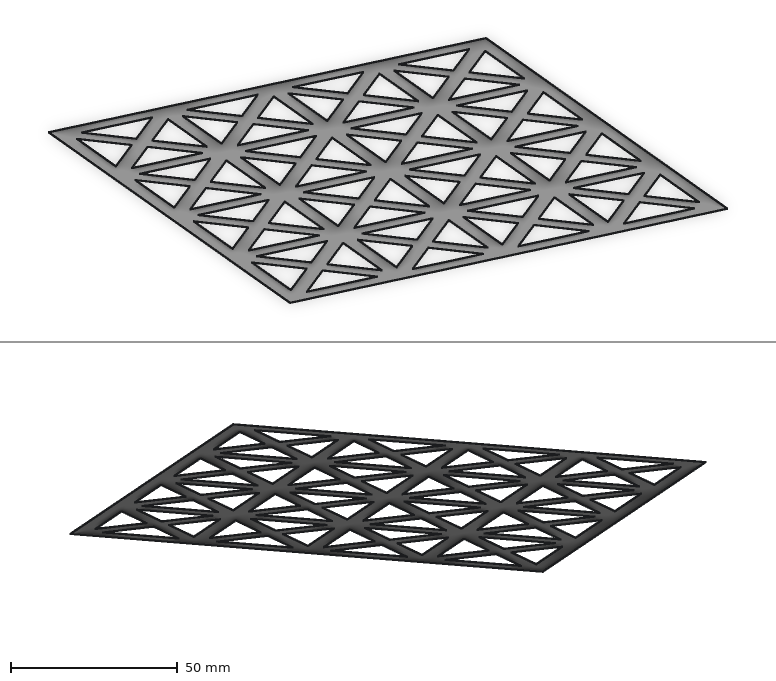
import cadquery as cq
import math

side = 150.0
thickness = 0.2

cells_per_side = 4
bar_widths_per_side = 30
bar_width = side / bar_widths_per_side

cell_size = (side - (cells_per_side + 1) * bar_width) / cells_per_side
cell_pitch = cell_size + bar_width

apex_distance = bar_width / 2 * math.sqrt(2)
window_base = cell_size / 2
window_half_length = window_base - apex_distance


def make_cell_windows():
    """Four triangular prisms around the origin, one on each edge of a cell."""
    window = (
        cq.Workplane("XY")
        .polyline([
            (-window_half_length, window_base),
            (window_half_length, window_base),
            (0, apex_distance),
        ])
        .close()
        .extrude(thickness)
        .val()
    )
    turns = (0, 90, 180, 270)
    return cq.Compound.makeCompound(
        [window.rotate((0, 0, 0), (0, 0, 1), turn) for turn in turns]
    )


cell_windows = make_cell_windows()
plate = cq.Workplane("XY").box(side, side, thickness, centered=(True, True, False))
all_windows = (
    cq.Workplane("XY")
    .rarray(cell_pitch, cell_pitch, cells_per_side, cells_per_side)
    .eachpoint(lambda location: cell_windows.moved(location))
)

result = plate.cut(cq.Workplane(cq.Compound.makeCompound(all_windows.vals())))